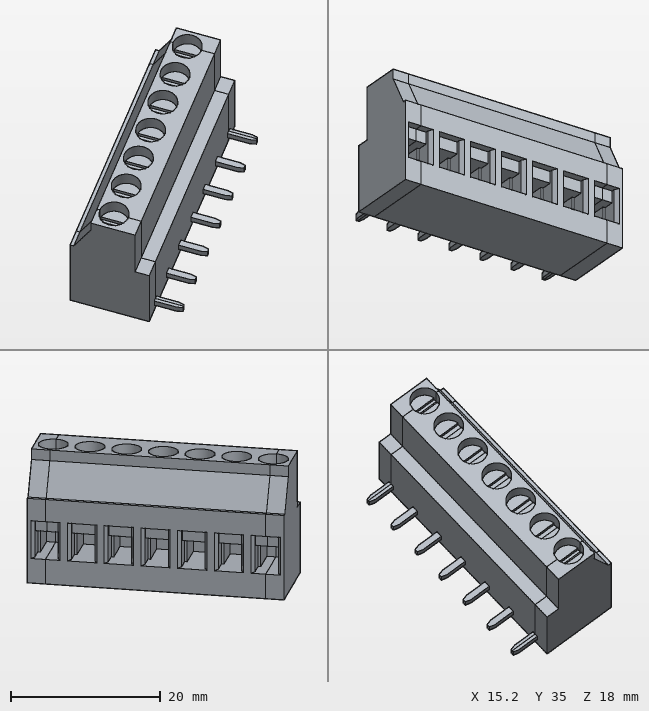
import cadquery as cq


pole_count = 7
block_length = 35.0
pitch = block_length / pole_count
pole_centres = [(i - (pole_count - 1) / 2) * pitch for i in range(pole_count)]
joint_y = pole_centres[-1]

housing_depth = 11.2
housing_height = 18.0
lip_height = 12.0
lip_width = 0.52
slope_top_x = 2.95
slope_top_z = 16.5
rear_step_x = 9.2
rear_step_z = 10.0

well_x = 5.35
well_diameter = 4.0
well_depth = 2.0
screw_slot_width = 0.8
screw_slot_depth = 0.5

entry_width = 4.0
entry_floor_z = 3.5
entry_top_z = 8.85
flare_depth = 0.7
throat_width = 3.2
stop_wall_x = 1.15
chamber_top_z = 7.07
chamber_end_x = 2.8
contact_width = 2.5
contact_end_x = 7.0

pin_length = 4.0
pin_width = 0.9
pin_thickness = 0.9
pin_centre_z = 1.58
pin_taper_length = 0.8
pin_tip_width = 0.5


def profiled_block():
    """Housing outline extruded over the whole row of poles."""
    outline = [
        (0, 0),
        (housing_depth, 0),
        (housing_depth, rear_step_z),
        (rear_step_x, rear_step_z),
        (rear_step_x, housing_height),
        (slope_top_x, housing_height),
        (slope_top_x, slope_top_z),
        (lip_width, lip_height),
        (0, lip_height),
    ]
    return cq.Workplane("XZ").polyline(outline).close().extrude(block_length / 2, both=True)


def bore(y, depth):
    """Round bore going down from the top face."""
    return cq.Workplane("XY", origin=(well_x, y, housing_height)).circle(well_diameter / 2).extrude(-depth)


def screw_well(y):
    """Round well whose floor is the screw head, with a driver slot across the whole head."""
    slot_floor = well_depth + screw_slot_depth
    slot_band = (
        cq.Workplane("XY", origin=(well_x, y, housing_height))
        .rect(well_diameter, screw_slot_width)
        .extrude(-slot_floor)
    )
    return bore(y, well_depth).union(bore(y, slot_floor).intersect(slot_band))


def entry_stage(y, start_x, end_x, width, top_z):
    """Straight box-shaped length of a wire entry, standing on the entry floor."""
    size = (end_x - start_x, width, top_z - entry_floor_z)
    return cq.Workplane("XY", origin=(start_x, y, entry_floor_z)).box(*size, centered=(False, True, False))


def wire_entry(y):
    """Wire entry: flared mouth, throat, lower chamber and a narrower slot into the contact."""
    flare = (
        cq.Workplane("XY", origin=(0, y, entry_floor_z))
        .moveTo(0, -entry_width / 2)
        .lineTo(flare_depth, -throat_width / 2)
        .lineTo(flare_depth, throat_width / 2)
        .lineTo(0, entry_width / 2)
        .close()
        .extrude(entry_top_z - entry_floor_z)
    )
    throat = entry_stage(y, flare_depth, stop_wall_x, throat_width, entry_top_z)
    chamber = entry_stage(y, stop_wall_x, chamber_end_x, throat_width, chamber_top_z)
    contact_slot = entry_stage(y, chamber_end_x, contact_end_x, contact_width, chamber_top_z)
    return flare.union(throat).union(chamber).union(contact_slot)


def contact_pin(y):
    """Flat pin standing out of the rear face, narrowed at its tip."""
    tip_x = housing_depth + pin_length
    taper_x = tip_x - pin_taper_length
    outline = [
        (housing_depth, -pin_width / 2),
        (taper_x, -pin_width / 2),
        (tip_x, -pin_tip_width / 2),
        (tip_x, pin_tip_width / 2),
        (taper_x, pin_width / 2),
        (housing_depth, pin_width / 2),
    ]
    return (
        cq.Workplane("XY", origin=(0, y, pin_centre_z))
        .polyline(outline)
        .close()
        .extrude(pin_thickness / 2, both=True)
    )


def pole_row():
    """Shape of the complete row, before it is split into sections."""
    row = profiled_block()
    for y in pole_centres:
        row = row.cut(screw_well(y)).cut(wire_entry(y)).union(contact_pin(y))
    return row


def section(row, start_y, end_y):
    """Part of the row between two planes across Y."""
    size = (housing_depth + pin_length, end_y - start_y, housing_height)
    slab = cq.Workplane("XY", origin=(0, start_y, 0)).box(*size, centered=False)
    return row.intersect(slab, clean=False)


complete_row = pole_row()

middle_section = section(complete_row, -joint_y, joint_y)

end_spans = [(-block_length / 2, -joint_y), (joint_y, block_length / 2)]
end_sections = [section(complete_row, start_y, end_y).val() for start_y, end_y in end_spans]

result = cq.Compound.makeCompound([middle_section.val(), *end_sections])